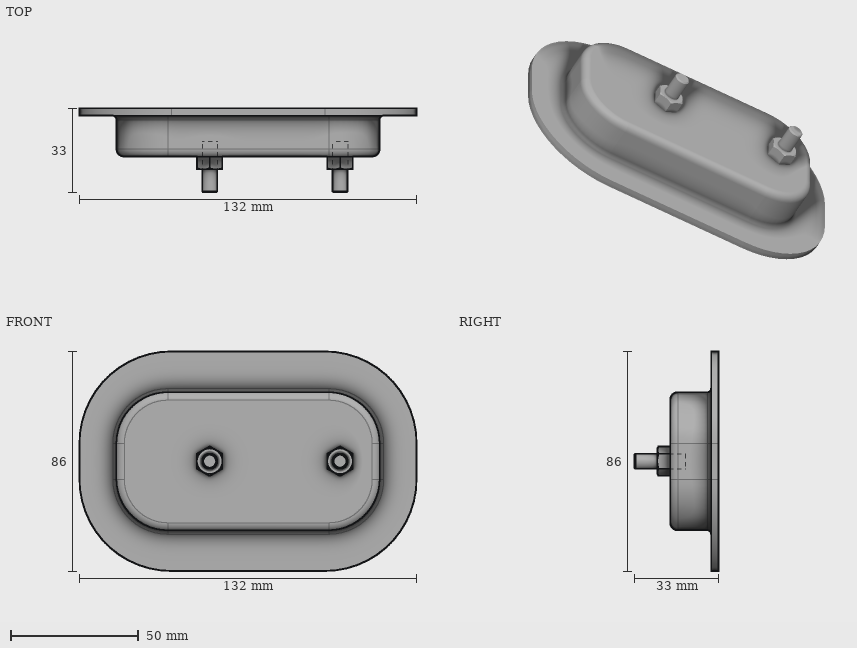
import cadquery as cq
import math

FLANGE_LENGTH = 132.0
FLANGE_HEIGHT = 86.0
FLANGE_CORNER_RADIUS = 36.0
FLANGE_THICKNESS = 3.0
BODY_LENGTH = 103.0
BODY_HEIGHT = 54.0
BODY_CORNER_RADIUS = 20.0
BODY_PROJECTION = 16.0
BODY_EDGE_RADIUS = 3.0
BODY_ROOT_RADIUS = 1.5
FACE_DEPTH = FLANGE_THICKNESS + BODY_PROJECTION

STUD_POSITIONS_X = (-15.0, 36.0)
STUD_DIAMETER = 6.0
STUD_PROJECTION = 14.0
STUD_EMBEDMENT = STUD_DIAMETER
STUD_BASE_DEPTH = FACE_DEPTH - STUD_EMBEDMENT
STUD_TIP_CHAMFER = 0.5

NUT_WIDTH_ACROSS_FLATS = 10.0
NUT_WIDTH_ACROSS_CORNERS = NUT_WIDTH_ACROSS_FLATS / math.cos(math.radians(30))
NUT_THICKNESS = 5.0
NUT_CHAMFER_ANGLE = 30.0


def plane_at_depth(depth, x=0.0):
    """Workplane facing -Y, the given depth in front of the flange back."""
    return cq.Workplane("XZ", origin=(x, -depth, 0))


def rounded_block(length, height, corner_radius, thickness, depth):
    """Block with rounded corners, growing toward -Y from the given depth."""
    block = plane_at_depth(depth).rect(length, height).extrude(thickness)
    return block.edges("|Y").fillet(corner_radius)


def make_housing():
    flange = rounded_block(FLANGE_LENGTH, FLANGE_HEIGHT, FLANGE_CORNER_RADIUS, FLANGE_THICKNESS, 0)
    body = rounded_block(BODY_LENGTH, BODY_HEIGHT, BODY_CORNER_RADIUS, BODY_PROJECTION, FLANGE_THICKNESS)
    body = body.faces("<Y").edges().fillet(BODY_EDGE_RADIUS)
    housing = flange.union(body)

    reach = BODY_ROOT_RADIUS / 2
    root_zone = cq.selectors.BoxSelector(
        (-BODY_LENGTH / 2 - reach, -FLANGE_THICKNESS - reach, -BODY_HEIGHT / 2 - reach),
        (BODY_LENGTH / 2 + reach, -FLANGE_THICKNESS + reach, BODY_HEIGHT / 2 + reach),
        boundingbox=True,
    )
    housing = housing.edges(root_zone).fillet(BODY_ROOT_RADIUS)

    for x in STUD_POSITIONS_X:
        hole = plane_at_depth(STUD_BASE_DEPTH, x).circle(STUD_DIAMETER / 2).extrude(STUD_EMBEDMENT)
        housing = housing.cut(hole)
    return housing


def make_stud(x):
    stud_length = STUD_EMBEDMENT + STUD_PROJECTION
    stud = plane_at_depth(STUD_BASE_DEPTH, x).circle(STUD_DIAMETER / 2).extrude(stud_length)
    return stud.faces("<Y").chamfer(STUD_TIP_CHAMFER)


def make_nut(x):
    hexagon = (
        plane_at_depth(FACE_DEPTH, x)
        .transformed(rotate=(0, 0, 90))
        .polygon(6, NUT_WIDTH_ACROSS_CORNERS)
        .circle(STUD_DIAMETER / 2)
        .extrude(NUT_THICKNESS)
    )

    corner_radius = NUT_WIDTH_ACROSS_CORNERS / 2
    flat_radius = NUT_WIDTH_ACROSS_FLATS / 2
    chamfer_depth = (corner_radius - flat_radius) * math.tan(math.radians(NUT_CHAMFER_ANGLE))
    envelope = (
        plane_at_depth(FACE_DEPTH, x)
        .circle(corner_radius)
        .extrude(NUT_THICKNESS)
        .faces("<Y")
        .chamfer(chamfer_depth, corner_radius - flat_radius)
    )
    return hexagon.intersect(envelope)


housing = make_housing()
studs = [make_stud(x) for x in STUD_POSITIONS_X]
nuts = [make_nut(x) for x in STUD_POSITIONS_X]

bodies = [housing, *studs, *nuts]
result = cq.Compound.makeCompound([body.solids().val() for body in bodies])